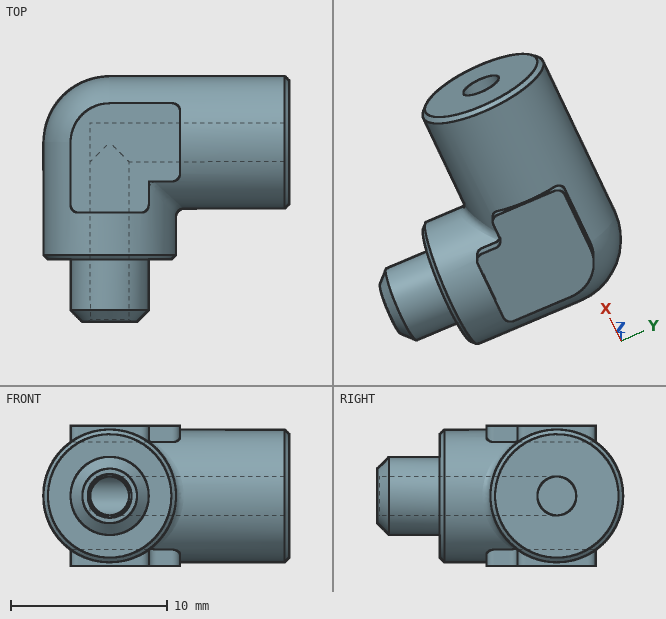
import cadquery as cq

reach = 11.5
body_radius = 4.25
shoulder = 7.5
body_chamfer = 0.3
inner_corner_radius = 0.5

spigot_radius = 2.5
spigot_chamfer = 0.75

pad_height = 9.0
pad_reach = 4.5
pad_half_width = spigot_radius
pad_corner_radius = 0.5

bore_radius = 1.25
bore_mouth_chamfer = 0.15
bore_mouth_angle = 45


def rod_along_x(radius, start, end):
    """Round bar on the X axis between two X positions."""
    return cq.Workplane("YZ", origin=(start, 0, 0)).circle(radius).extrude(end - start)


def rod_along_minus_y(radius, start, end):
    """Round bar on the Y axis, between two distances measured toward -Y."""
    return cq.Workplane("XZ", origin=(0, -start, 0)).circle(radius).extrude(end - start)


def make_pad_prism(base, height):
    """L-shaped prism rising from Z = base, with rounded tips and a sharp inner corner."""
    outline = (
        cq.Workplane("XY", origin=(0, 0, base))
        .moveTo(-pad_half_width, -pad_reach)
        .lineTo(pad_half_width, -pad_reach)
        .lineTo(pad_half_width, -pad_half_width)
        .lineTo(pad_reach, -pad_half_width)
        .lineTo(pad_reach, pad_half_width)
        .lineTo(0, pad_half_width)
        .radiusArc((-pad_half_width, 0), -pad_half_width)
        .close()
    )
    prism = outline.extrude(height)
    return prism.edges("|Z and (>X or <Y)").fillet(pad_corner_radius)


def make_pads():
    """Upper and lower pads joined through the body; only the lower inner corner is rounded."""
    half_height = pad_height / 2
    inner_corner = cq.selectors.NearestToPointSelector(
        (pad_half_width, -pad_half_width, -half_height / 2)
    )
    upper = make_pad_prism(0, half_height)
    lower = make_pad_prism(-half_height, half_height)
    lower = lower.edges("|Z").edges(inner_corner).fillet(pad_corner_radius)
    return upper.union(lower)


port_arm = rod_along_x(body_radius, 0, reach).faces(">X").chamfer(body_chamfer)
spigot_arm = rod_along_minus_y(body_radius, 0, shoulder).faces("<Y").chamfer(body_chamfer)
ball = cq.Workplane("XY").sphere(body_radius)
body = port_arm.union(spigot_arm).union(ball).union(make_pads())

valley = cq.selectors.BoxSelector(
    (spigot_radius, -body_radius, -body_radius),
    (body_radius, -spigot_radius, body_radius),
)
body = body.edges("%ELLIPSE").edges(valley).fillet(inner_corner_radius)

spigot = rod_along_minus_y(spigot_radius, 0, reach).faces("<Y").chamfer(spigot_chamfer)
body = body.union(spigot)

port_bore = rod_along_x(bore_radius, -bore_radius, reach)
spigot_bore = rod_along_minus_y(bore_radius, 0, reach)
body = body.cut(port_bore).cut(spigot_bore)
mouth = (
    cq.Workplane("XZ", origin=(0, -reach, 0))
    .circle(bore_radius + bore_mouth_chamfer)
    .extrude(-bore_mouth_chamfer, taper=bore_mouth_angle)
)
result = body.cut(mouth)